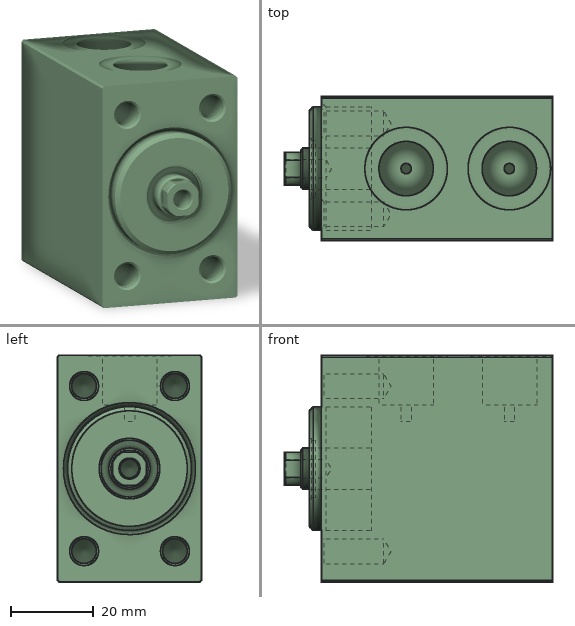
import cadquery as cq
import math


BLOCK_LENGTH = 56.0
BLOCK_WIDTH = 35.0
BLOCK_HEIGHT = 55.0
BLOCK_EDGE_CHAMFER = 0.5

MOUNT_SPACING_Y = 22.0
MOUNT_SPACING_Z = 40.0
MOUNT_DIAMETER = 6.0
MOUNT_DEPTH = 15.0
MOUNT_CHAMFER = 0.5

PORT_X_POSITIONS = (20.5, 45.5)
PORT_DIAMETER = 13.2
PORT_DEPTH = 12.0
SPOTFACE_DIAMETER = 20.0
SPOTFACE_DEPTH = 0.2
FEED_DIAMETER = 2.5
FEED_DEPTH = 4.0

CAP_DIAMETER = 30.0
CAP_PROJECTION = 3.0
CAP_CHAMFER = 1.0
CAP_INSERTION = 12.0
BORE_CHAMFER = 1.0
WIPER_DIAMETER = 13.8
WIPER_DEPTH = 1.5
WIPER_STEP_DIAMETER = 14.7
WIPER_STEP_DEPTH = 0.5

ROD_DIAMETER = 10.0
ROD_PROJECTION = 9.0
ROD_CHAMFER = 0.5
TIP_DIAMETER = 9.0
TIP_LENGTH = 4.0
TIP_CHAMFER_LENGTH = 0.4
TIP_FACE_DIAMETER = 8.6
TIP_ACROSS_FLATS = 8.0
ROD_HOLE_DIAMETER = 4.5
ROD_HOLE_DEPTH = 10.0
ROD_HOLE_CHAMFER = 0.3

DRILL_POINT_ANGLE = 118.0


def revolve_about_x(profile):
    """Revolve a closed (x, radius) outline about the X axis."""
    return cq.Workplane("XY").polyline(profile).close().revolve(360, (0, 0, 0), (1, 0, 0))


def drilled_hole(diameter, depth, chamfer):
    """Cutter for a drilled hole along +X: mouth chamfer, straight bore and drill point."""
    radius = diameter / 2
    point_length = radius / math.tan(math.radians(DRILL_POINT_ANGLE / 2))
    return revolve_about_x([
        (0, 0),
        (0, radius + chamfer),
        (chamfer, radius),
        (depth, radius),
        (depth + point_length, 0),
    ])


def port_cutter():
    """Cutter for one oil port, pointing down from the origin: spotface, bore and feed hole."""
    spotface = cq.Workplane("XY").circle(SPOTFACE_DIAMETER / 2).extrude(-SPOTFACE_DEPTH)
    bore = cq.Workplane("XY").circle(PORT_DIAMETER / 2).extrude(-PORT_DEPTH)
    feed = cq.Workplane("XY").circle(FEED_DIAMETER / 2).extrude(-PORT_DEPTH - FEED_DEPTH)
    return spotface.union(bore).union(feed)


def make_block():
    block = cq.Workplane("XY").box(BLOCK_LENGTH, BLOCK_WIDTH, BLOCK_HEIGHT)
    block = block.translate((BLOCK_LENGTH / 2, 0, 0)).edges("|X").chamfer(BLOCK_EDGE_CHAMFER)

    bore_radius = CAP_DIAMETER / 2
    block = block.cut(revolve_about_x([
        (0, 0),
        (0, bore_radius + BORE_CHAMFER),
        (BORE_CHAMFER, bore_radius),
        (CAP_INSERTION, bore_radius),
        (CAP_INSERTION, 0),
    ]))

    mount_hole = drilled_hole(MOUNT_DIAMETER, MOUNT_DEPTH, MOUNT_CHAMFER)
    for side_y in (-1, 1):
        for side_z in (-1, 1):
            place = (0, side_y * MOUNT_SPACING_Y / 2, side_z * MOUNT_SPACING_Z / 2)
            block = block.cut(mount_hole.translate(place))

    for port_x in PORT_X_POSITIONS:
        block = block.cut(port_cutter().translate((port_x, 0, BLOCK_HEIGHT / 2)))
    return block


def make_cap():
    """Round cap with a chamfered front rim, a stepped wiper recess and a bore for the rod."""
    cap_radius = CAP_DIAMETER / 2
    rod_radius = ROD_DIAMETER / 2
    wiper_radius = WIPER_DIAMETER / 2
    wiper_step_radius = WIPER_STEP_DIAMETER / 2
    front = -CAP_PROJECTION
    return revolve_about_x([
        (CAP_INSERTION, rod_radius),
        (front + WIPER_DEPTH, rod_radius),
        (front + WIPER_DEPTH, wiper_radius),
        (front + WIPER_STEP_DEPTH, wiper_radius),
        (front + WIPER_STEP_DEPTH, wiper_step_radius),
        (front, wiper_step_radius),
        (front, cap_radius - CAP_CHAMFER),
        (front + CAP_CHAMFER, cap_radius),
        (CAP_INSERTION, cap_radius),
    ])


def make_rod():
    """Stepped rod with four flats on its tip and a blind hole in its end."""
    rod_radius = ROD_DIAMETER / 2
    tip_radius = TIP_DIAMETER / 2
    front = -ROD_PROJECTION
    shoulder = front + TIP_LENGTH
    tip = revolve_about_x([
        (front, 0),
        (front, TIP_FACE_DIAMETER / 2),
        (front + TIP_CHAMFER_LENGTH, tip_radius),
        (shoulder, tip_radius),
        (shoulder, 0),
    ])
    flats = cq.Workplane("XY").box(TIP_LENGTH, TIP_ACROSS_FLATS, TIP_ACROSS_FLATS)
    tip = tip.intersect(flats.translate((front + TIP_LENGTH / 2, 0, 0)))

    shaft = revolve_about_x([
        (shoulder, 0),
        (shoulder, rod_radius - ROD_CHAMFER),
        (shoulder + ROD_CHAMFER, rod_radius),
        (CAP_INSERTION, rod_radius),
        (CAP_INSERTION, 0),
    ])
    end_hole = drilled_hole(ROD_HOLE_DIAMETER, ROD_HOLE_DEPTH, ROD_HOLE_CHAMFER)
    return shaft.union(tip).cut(end_hole.translate((front, 0, 0)))


block = make_block()
cap = make_cap()
rod = make_rod()

result = cq.Compound.makeCompound([block.val(), cap.val(), rod.val()])